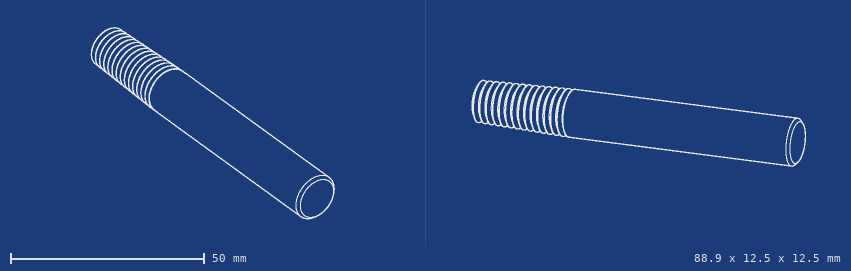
import cadquery as cq

length = 88.9
shank_diameter = 12.5
shank_radius = shank_diameter / 2
end_chamfer = 0.8

thread_length = 26.05
ridge_count = 14
first_crest_x = 0.9
last_crest_x = 24.45
pitch = (last_crest_x - first_crest_x) / (ridge_count - 1)
ridge_height = 1.3
crest_flat = 0.16
taper = 1 / 32


def crest_radius(x):
    """Radius of the cone through the ridge tips; it reaches the shank size at the last ridge."""
    return shank_radius - taper * (last_crest_x - x)


def root_radius(x):
    """Radius of the cone through the bottoms of the grooves."""
    return crest_radius(x) - ridge_height


def ridge_profile():
    """Zigzag of (x, radius) points from the end face to the last groove."""
    points = [(0, root_radius(0))]
    for ridge in range(ridge_count):
        crest_x = first_crest_x + ridge * pitch
        groove_x = crest_x + pitch / 2
        points.append((crest_x - crest_flat / 2, crest_radius(crest_x)))
        points.append((crest_x + crest_flat / 2, crest_radius(crest_x)))
        points.append((groove_x, root_radius(groove_x)))
    return points


last_groove_x = last_crest_x + pitch / 2
flank_slope = ridge_height / ((pitch - crest_flat) / 2)
shoulder_radius = root_radius(last_groove_x) + flank_slope * (thread_length - last_groove_x)

half_outline = [
    (0, 0),
    *ridge_profile(),
    (thread_length, shoulder_radius),
    (thread_length, shank_radius),
    (length - end_chamfer, shank_radius),
    (length, shank_radius - end_chamfer),
    (length, 0),
]

result = cq.Workplane("XZ").polyline(half_outline).close().revolve(360, (0, 0, 0), (1, 0, 0))